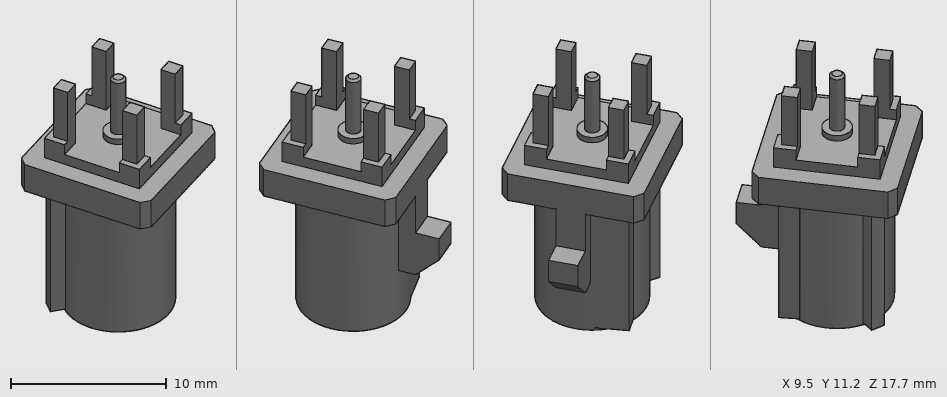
import cadquery as cq
import math

TOTAL_HEIGHT = 17.7
FLANGE_BOTTOM = 10.16
FLANGE_TOP = 12.27
FLOOR_HEIGHT = 13.03
FOOT_TOP = 13.8
COLLAR_TOP = 13.45

FLANGE_SIDE = 9.5
FLANGE_CHAMFER = 0.53
BARREL_DIAMETER = 7.4
BARREL_FILLET = 0.18
RIB_BOTTOM = 0.28

DIAGONAL_RIB_ANGLE = 225.0
DIAGONAL_RIB_WIDTH = 1.0
DIAGONAL_RIB_REACH = 4.67
SIDE_RIB_FAR_CORNER = (-3.43, 3.15)
SIDE_RIB_NEAR_CORNER = (-3.33, 1.82)
SIDE_RIB_FAR_SLOPE = 9.0
SIDE_RIB_NEAR_SLOPE = -20.0

LATCH_WIDTH = 1.96
LATCH_BOTTOM = 3.91
HOOK_TOP = 7.24
HOOK_PROJECTION = 1.65

SHELL_SIDE = 6.95
POST_GAP = 4.02
POST_WIDTH = 1.05

COLLAR_DIAMETER = 1.96
PIN_DIAMETER = 1.0
PIN_CHAMFER = 0.16

BARREL_RADIUS = BARREL_DIAMETER / 2


def slab(size_x, size_y, bottom, top):
    """Block centred on the Z axis between two heights."""
    return (
        cq.Workplane("XY")
        .workplane(offset=bottom)
        .rect(size_x, size_y)
        .extrude(top - bottom)
    )


def make_rib(outline):
    """Straight rib along the barrel with the given outline, running up to the flange."""
    return (
        cq.Workplane("XY")
        .workplane(offset=RIB_BOTTOM)
        .polyline(outline)
        .close()
        .extrude(FLANGE_BOTTOM - RIB_BOTTOM)
    )


def make_diagonal_rib():
    """Rectangular rib pointing to the -X, -Y corner of the flange."""
    half_width = DIAGONAL_RIB_WIDTH / 2
    outline = [
        (0, -half_width),
        (DIAGONAL_RIB_REACH, -half_width),
        (DIAGONAL_RIB_REACH, half_width),
        (0, half_width),
    ]
    return make_rib(outline).rotate((0, 0, 0), (0, 0, 1), DIAGONAL_RIB_ANGLE)


def side_rib_root(corner, slope):
    """Point on the YZ plane where a rib side starting at corner with this slope ends."""
    corner_x, corner_y = corner
    return (0, corner_y - corner_x * math.tan(math.radians(slope)))


def make_side_rib():
    """Rib on the -X, +Y part of the barrel, tapering outward from the YZ plane."""
    outline = [
        side_rib_root(SIDE_RIB_NEAR_CORNER, SIDE_RIB_NEAR_SLOPE),
        SIDE_RIB_NEAR_CORNER,
        SIDE_RIB_FAR_CORNER,
        side_rib_root(SIDE_RIB_FAR_CORNER, SIDE_RIB_FAR_SLOPE),
    ]
    return make_rib(outline)


def make_latch():
    """Plate flush with the flange edge, ending in a hook with a 45 degree lead-in."""
    plate_face = FLANGE_SIDE / 2
    hook_face = plate_face + HOOK_PROJECTION
    return (
        cq.Workplane("YZ")
        .moveTo(0, LATCH_BOTTOM)
        .lineTo(plate_face, LATCH_BOTTOM)
        .lineTo(hook_face, LATCH_BOTTOM + HOOK_PROJECTION)
        .lineTo(hook_face, HOOK_TOP)
        .lineTo(plate_face, HOOK_TOP)
        .lineTo(plate_face, FLANGE_BOTTOM)
        .lineTo(0, FLANGE_BOTTOM)
        .close()
        .extrude(LATCH_WIDTH / 2, both=True)
    )


def make_housing():
    """Square flange over a solid round barrel with two coding ribs and a latch."""
    barrel = (
        cq.Workplane("XY")
        .circle(BARREL_RADIUS)
        .extrude(FLANGE_BOTTOM)
        .faces("<Z")
        .fillet(BARREL_FILLET)
    )
    flange = slab(FLANGE_SIDE, FLANGE_SIDE, FLANGE_BOTTOM, FLANGE_TOP)
    flange = flange.edges("|Z").chamfer(FLANGE_CHAMFER)
    housing = barrel.union(flange)
    housing = housing.union(make_diagonal_rib())
    housing = housing.union(make_side_rib())
    return housing.union(make_latch())


def make_shell():
    """Square base plate with a raised foot and a solder post at each corner."""
    shell = slab(SHELL_SIDE, SHELL_SIDE, FLANGE_TOP, FLOOR_HEIGHT)
    foot_width = (SHELL_SIDE - POST_GAP) / 2
    foot_place = (POST_GAP + foot_width) / 2
    post_place = (POST_GAP + POST_WIDTH) / 2
    for side_x in (-1, 1):
        for side_y in (-1, 1):
            foot = slab(foot_width, foot_width, FLOOR_HEIGHT, FOOT_TOP)
            post = slab(POST_WIDTH, POST_WIDTH, FOOT_TOP, TOTAL_HEIGHT)
            shell = shell.union(foot.translate((side_x * foot_place, side_y * foot_place, 0)))
            shell = shell.union(post.translate((side_x * post_place, side_y * post_place, 0)))
    return shell


def make_collar():
    """Insulating ring standing on the shell floor around the pin."""
    return (
        cq.Workplane("XY")
        .workplane(offset=FLOOR_HEIGHT)
        .circle(COLLAR_DIAMETER / 2)
        .circle(PIN_DIAMETER / 2)
        .extrude(COLLAR_TOP - FLOOR_HEIGHT)
    )


def make_pin():
    """Contact pin standing on the shell floor, chamfered at its tip."""
    return (
        cq.Workplane("XY")
        .workplane(offset=FLOOR_HEIGHT)
        .circle(PIN_DIAMETER / 2)
        .extrude(TOTAL_HEIGHT - FLOOR_HEIGHT)
        .faces(">Z")
        .chamfer(PIN_CHAMFER)
    )


housing = make_housing()
shell = make_shell()
collar = make_collar()
pin = make_pin()

result = cq.Compound.makeCompound([housing.val(), shell.val(), collar.val(), pin.val()])